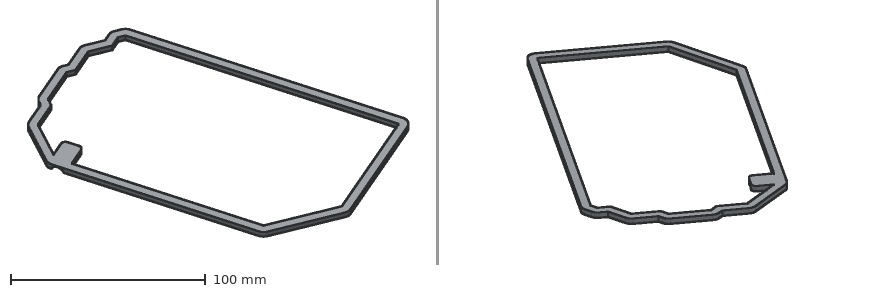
import cadquery as cq

length = 181.0
width = 108.7
thickness = 3.3
wall = 5.0

inner_left = wall
inner_right = length - wall
inner_bottom = wall
inner_top = width - wall

bulge_low = 43.6
bulge_high = 65.9
bulge_step = 3.5
side_x = inner_left + bulge_step
side_low = 24.0
side_high = 84.7
shoulder_step = 9.2
shoulder_x = side_x + shoulder_step
shoulder_y = side_high + shoulder_step
top_cut = 2.9
lower_left_cut = side_low - inner_bottom
lower_right_cut = 30.2

tab_left = 25.3
tab_width = 11.4
tab_top = 18.6
tab_corner_radius = 2.5

channel_x = tab_left + tab_width / 2
channel_z = -1.3
head_radius = 3.8
head_depth = wall
shank_radius = 2.0


def ring():
    """Constant-width frame; the outer convex corners are rounded about the inner ones."""
    inner_points = [
        (side_x + lower_left_cut, inner_bottom),
        (inner_right - lower_right_cut, inner_bottom),
        (inner_right, inner_bottom + lower_right_cut),
        (inner_right, inner_top),
        (shoulder_x + top_cut, inner_top),
        (shoulder_x, inner_top - top_cut),
        (shoulder_x, shoulder_y),
        (side_x, side_high),
        (side_x, bulge_high + bulge_step),
        (inner_left, bulge_high),
        (inner_left, bulge_low),
        (side_x, bulge_low - bulge_step),
        (side_x, side_low),
    ]
    opening = cq.Workplane("XY").polyline(inner_points).close()
    outer = opening.offset2D(wall, "arc").extrude(thickness)
    inner = cq.Workplane("XY").polyline(inner_points).close().extrude(thickness)
    return outer.cut(inner)


def tab():
    """Round-cornered tongue rising from the lower wall into the opening."""
    base_y = wall / 2
    height = tab_top - base_y
    block = cq.Workplane("XY").box(tab_width, height, thickness, centered=False)
    block = block.edges("|Z and >Y").fillet(tab_corner_radius)
    return block.translate((tab_left, base_y, 0))


def channel_cylinder(radius, depth):
    """Cylinder entering from the outer face of the lower wall toward +Y."""
    face = cq.Workplane("XZ").center(channel_x, channel_z)
    return face.circle(radius).extrude(-depth)


result = ring().union(tab())
result = result.cut(channel_cylinder(head_radius, head_depth))
result = result.cut(channel_cylinder(shank_radius, tab_top))